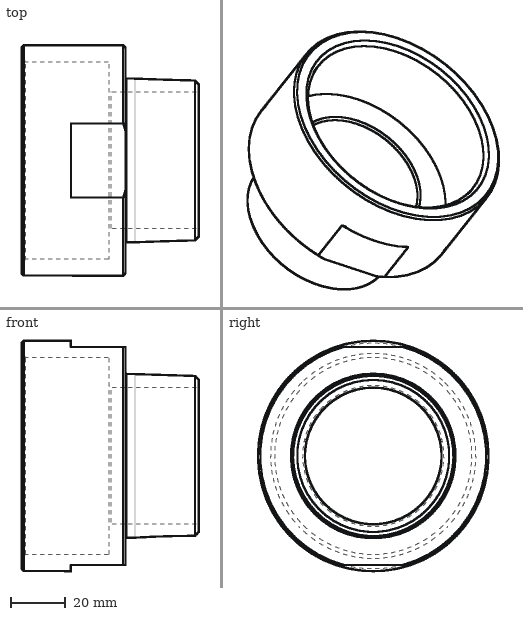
import cadquery as cq

total_length = 65.0
body_length = 38.1

body_radius = 84.5 / 2
body_chamfer = 0.85
socket_radius = 72.23 / 2
socket_mouth_radius = 75.2 / 2
socket_depth = 32.0

spigot_root_radius = 60.325 / 2
spigot_root_length = 0.35
spigot_radius = 60.08 / 2
spigot_collar_length = 3.4
spigot_end_chamfer = 1.5
taper_slope = 1 / 32

bore_radius = 50.0 / 2
bore_chamfer = 0.85

flat_start = 18.1
flat_across = 80.0


def revolve_about_x(points):
    """Revolve a closed (x, radius) outline around the X axis."""
    profile = cq.Workplane("XZ").polyline(points).close()
    return profile.revolve(360, (0, 0, 0), (1, 0, 0))


def make_outer():
    taper_start = body_length + spigot_collar_length
    taper_end = total_length - spigot_end_chamfer
    taper_end_radius = spigot_radius - taper_slope * (taper_end - taper_start)
    return revolve_about_x([
        (0, 0),
        (0, body_radius - body_chamfer),
        (body_chamfer, body_radius),
        (body_length - body_chamfer, body_radius),
        (body_length, body_radius - body_chamfer),
        (body_length, spigot_root_radius),
        (body_length + spigot_root_length, spigot_radius),
        (taper_start, spigot_radius),
        (taper_end, taper_end_radius),
        (total_length, taper_end_radius - spigot_end_chamfer),
        (total_length, 0),
    ])


def make_cavity():
    mouth_depth = socket_mouth_radius - socket_radius
    return revolve_about_x([
        (0, 0),
        (0, socket_mouth_radius),
        (mouth_depth, socket_radius),
        (socket_depth, socket_radius),
        (socket_depth, bore_radius + bore_chamfer),
        (socket_depth + bore_chamfer, bore_radius),
        (total_length, bore_radius),
        (total_length, 0),
    ])


def make_flat_cutter(side):
    """Block that trims the body above (side = 1) or below (side = -1) a wrench flat."""
    cut_height = body_radius
    cutter = cq.Workplane("XY").box(
        body_length - flat_start, 2 * body_radius, cut_height, centered=(False, True, True)
    )
    return cutter.translate((flat_start, 0, side * (flat_across + cut_height) / 2))


result = make_outer().cut(make_cavity())
for side in (1, -1):
    result = result.cut(make_flat_cutter(side))